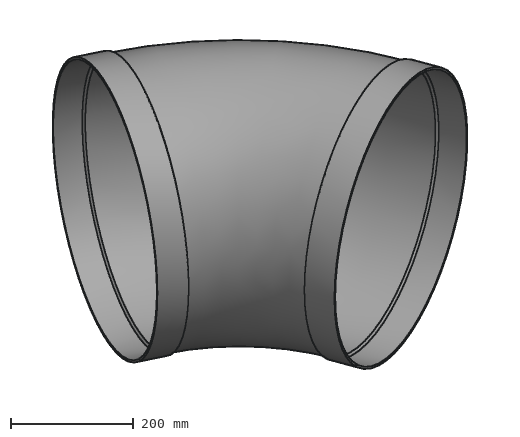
import cadquery as cq
import math

overall_length = 625.5
bend_angle = 45.0
bend_radius = 500.0
collar_diameter = 508.0
wall = 4.0
taper_length = wall

pipe_diameter = collar_diameter - 2 * wall
pipe_bore = pipe_diameter - 2 * wall

angle = math.radians(bend_angle)

bend_rise = bend_radius * math.sin(angle)
tilted_face_rise = collar_diameter / 2 * math.sin(angle)
collar_length = (overall_length - bend_rise - tilted_face_rise) / (1 + math.cos(angle))


def ring(plane, outer_diameter, inner_diameter):
    """Annular profile centred on the given plane."""
    return cq.Workplane(plane).circle(outer_diameter / 2).circle(inner_diameter / 2)


def collar(plane):
    """Socket whose bore fits the pipe, narrowing conically to the pipe bore at its inner end.

    The plane lies where the bend starts and its normal points out of the pipe.
    """
    sleeve = cq.Workplane(plane).circle(collar_diameter / 2).extrude(collar_length)
    bore_profile = [
        (0, 0),
        (pipe_bore / 2, 0),
        (pipe_diameter / 2, taper_length),
        (pipe_diameter / 2, collar_length),
        (0, collar_length),
    ]
    profile_plane = cq.Plane(origin=plane.origin, xDir=plane.xDir, normal=plane.xDir.cross(plane.zDir))
    bore = cq.Workplane(profile_plane).polyline(bore_profile).close().revolve(360, (0, 0), (0, 1))
    return sleeve.cut(bore)


start_plane = cq.Plane(
    origin=(0, collar_length, 0),
    xDir=(1, 0, 0),
    normal=(0, -1, 0),
)
end_plane = cq.Plane(
    origin=(bend_radius * (1 - math.cos(angle)), collar_length + bend_rise, 0),
    xDir=(math.cos(angle), -math.sin(angle), 0),
    normal=(math.sin(angle), math.cos(angle), 0),
)

bend = ring(start_plane, pipe_diameter, pipe_bore).revolve(
    bend_angle,
    (bend_radius, 0, 0),
    (bend_radius, -1, 0),
)

result = bend.union(collar(start_plane)).union(collar(end_plane))